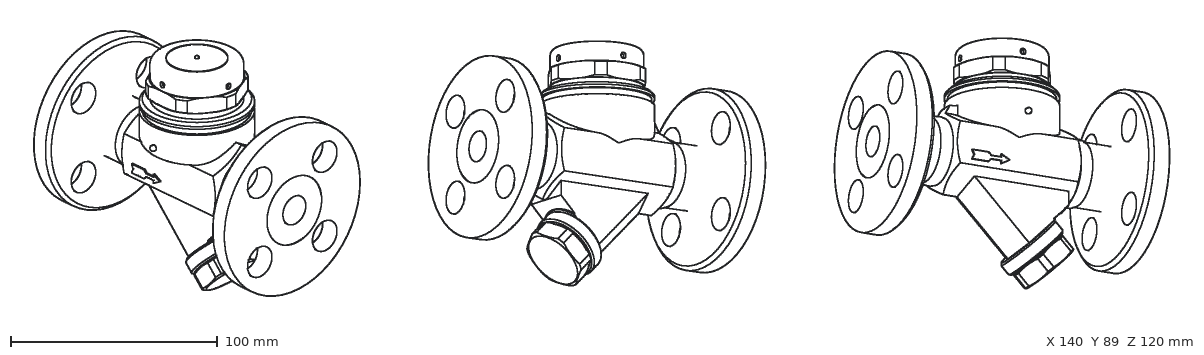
import cadquery as cq
import math

FACE_TO_FACE = 140.0

FLANGE_D = 89.0
FLANGE_THICKNESS = 10.4
FLANGE_CHAMFER = 2.0
RAISED_FACE_D = 35.8
RAISED_FACE_HEIGHT = 1.5
BOLT_CIRCLE_D = 60.3
BOLT_HOLE_D = 16.0
BOLT_HOLE_COUNT = 4
BOLT_START_ANGLE = 45

PIPE_D = 32.0
PIPE_FILLET = 2.2
BORE_D = 15.0
WELD_BEAD_D = 34.0
WELD_BEAD_BODY_D = 33.2
WELD_BEAD_WIDTH = 6.4

BODY_ACROSS_FLATS = 37.2
BODY_RIDGE_RADIUS = BODY_ACROSS_FLATS / math.sqrt(3)
BODY_FULL_HALF_LENGTH = 31.9
BODY_END_ANGLE = 60.0

BOWL_D = 56.0
BOWL_TOP = 28.8
BOWL_FILLET = 5.4
BOWL_BOTTOM = 10.7
BOWL_NECK_D = BODY_ACROSS_FLATS
BOWL_NECK_FILLET = 3.6

TAB_WIDTH = 10.0
TAB_TOP = 23.0
TAB_FILLET = 3.3

STUD_D = 3.0
STUD_HEIGHT = 17.7
STUD_REACH = 30.3

BRANCH_OFFSET = 12.55
BRANCH_HALF_WIDTH = 12.7
BRANCH_START = -10.0
BRANCH_END = 36.2
BRANCH_LIP_END = 36.9
BRANCH_LIP_D = 35.2
BRANCH_RIGHT_FACE = 29.8
BRANCH_UPPER_EDGE = 30.0
COLLAR_D = 34.0
COLLAR_CHAMFER = 0.9
COLLAR_END = 44.5
PLUG_ACROSS_FLATS = 30.0
PLUG_CORNER_D = 32.8
PLUG_END = 54.17
PLUG_CHAMFER_LENGTH = 0.8
PLUG_CHAMFER_DEPTH = 1.8

ARROW_TAIL_X = -25.8
ARROW_Z = -5.5
ARROW_LENGTH = 20.3
ARROW_HALF_HEIGHT = 2.4
ARROW_SHAFT_HALF_HEIGHT = 0.9
ARROW_TAIL_NOTCH = 1.2
ARROW_FEATHER_LENGTH = 8.9
ARROW_FEATHER_TAPER = 1.5
ARROW_HEAD_LENGTH = 4.5
ARROW_RELIEF = 0.75

GROOVE_D = 53.0
RIM_BOTTOM = 32.1
RIM_TOP = 35.0
RIM_CHAMFER = 1.5
NECK_GROOVE_D = 43.6
HEX_BOTTOM = 38.1
HEX_TOP = 46.4
HEX_ACROSS_FLATS = 45.8
HEX_CORNER_D = 49.8
HEX_CHAMFER_LENGTH = 0.8
HEX_CHAMFER_DEPTH = 1.6
CROWN_D = 45.5
CROWN_TOP = 56.6
CROWN_FILLET = 2.9
PLATE_D = 30.0
PLATE_THICKNESS = 0.4
PIP_D = 2.2
DIMPLE_D = 3.0
DIMPLE_BOTTOM_D = 1.6
DIMPLE_DEPTH = 0.8
DIMPLE_HEIGHT = 49.8
DIMPLE_COUNT = 4

FLANGE_OUTER_X = FACE_TO_FACE / 2 - RAISED_FACE_HEIGHT
FLANGE_INNER_X = FLANGE_OUTER_X - FLANGE_THICKNESS
BODY_END_SLOPE = math.tan(math.radians(BODY_END_ANGLE))
BODY_END_X = BODY_FULL_HALF_LENGTH + (BODY_RIDGE_RADIUS - WELD_BEAD_BODY_D / 2) / BODY_END_SLOPE
ARC_MIDDLE = math.sqrt(0.5)


def hexagon(plane, across_flats):
    """Hexagon sketch with two corners on the local X axis of the plane."""
    return cq.Workplane(plane).polygon(6, across_flats * 2 / math.sqrt(3))


def fillet_middle(center, radius, x_sign, y_sign):
    """Middle point of a quarter arc lying in the given quadrant of its centre."""
    return (center[0] + x_sign * radius * ARC_MIDDLE, center[1] + y_sign * radius * ARC_MIDDLE)


def make_pipe_end():
    """Outlet stub, weld bead, flange and raised face, turned about the X axis."""
    pipe_r = PIPE_D / 2
    flange_r = FLANGE_D / 2
    face_r = RAISED_FACE_D / 2
    bead_body_r = WELD_BEAD_BODY_D / 2
    bead_end = BODY_END_X + WELD_BEAD_WIDTH
    neck_fillet = (FLANGE_INNER_X - PIPE_FILLET, pipe_r + PIPE_FILLET)
    face_fillet = (FACE_TO_FACE / 2, face_r + RAISED_FACE_HEIGHT)
    turned = (
        cq.Workplane("XY")
        .moveTo(0, 0)
        .lineTo(0, bead_body_r)
        .lineTo(BODY_END_X, bead_body_r)
        .threePointArc((BODY_END_X + WELD_BEAD_WIDTH / 2, WELD_BEAD_D / 2), (bead_end, pipe_r))
        .lineTo(FLANGE_INNER_X - PIPE_FILLET, pipe_r)
        .threePointArc(
            fillet_middle(neck_fillet, PIPE_FILLET, 1, -1),
            (FLANGE_INNER_X, pipe_r + PIPE_FILLET),
        )
        .lineTo(FLANGE_INNER_X, flange_r - FLANGE_CHAMFER)
        .lineTo(FLANGE_INNER_X + FLANGE_CHAMFER, flange_r)
        .lineTo(FLANGE_OUTER_X, flange_r)
        .lineTo(FLANGE_OUTER_X, face_r + RAISED_FACE_HEIGHT)
        .threePointArc(
            fillet_middle(face_fillet, RAISED_FACE_HEIGHT, -1, -1),
            (FACE_TO_FACE / 2, face_r),
        )
        .lineTo(FACE_TO_FACE / 2, 0)
        .close()
        .revolve(360, (0, 0, 0), (1, 0, 0))
    )
    bolt_holes = (
        cq.Workplane("YZ", origin=(FLANGE_INNER_X, 0, 0))
        .polarArray(BOLT_CIRCLE_D / 2, BOLT_START_ANGLE, 360, BOLT_HOLE_COUNT)
        .circle(BOLT_HOLE_D / 2)
        .extrude(FLANGE_THICKNESS)
    )
    return turned.cut(bolt_holes)


def make_end_cone():
    """Double cone about X that trims the body ends and the tab."""
    peak_r = BODY_RIDGE_RADIUS + BODY_FULL_HALF_LENGTH * BODY_END_SLOPE
    tip_x = peak_r / BODY_END_SLOPE
    return (
        cq.Workplane("XY")
        .polyline([(-tip_x, 0), (0, peak_r), (tip_x, 0)])
        .close()
        .revolve(360, (0, 0, 0), (1, 0, 0))
    )


def make_tab():
    """Flat-topped tab that flares into the bowl through round corners."""
    half_width = TAB_WIDTH / 2
    bowl_edge_x = -math.sqrt((BOWL_D / 2) ** 2 - (half_width + TAB_FILLET) ** 2)
    flare_x = bowl_edge_x - TAB_FILLET
    flare_center = (flare_x, half_width + TAB_FILLET)
    lower_center = (flare_x, -half_width - TAB_FILLET)
    return (
        cq.Workplane("XY")
        .moveTo(-BODY_END_X, half_width)
        .lineTo(flare_x, half_width)
        .threePointArc(
            fillet_middle(flare_center, TAB_FILLET, 1, -1),
            (bowl_edge_x, half_width + TAB_FILLET),
        )
        .lineTo(bowl_edge_x, -half_width - TAB_FILLET)
        .threePointArc(
            fillet_middle(lower_center, TAB_FILLET, 1, 1),
            (flare_x, -half_width),
        )
        .lineTo(-BODY_END_X, -half_width)
        .close()
        .extrude(TAB_TOP)
    )


def make_bowl():
    """Bowl with a rounded bottom edge, blended into the body by a round neck."""
    bowl_r = BOWL_D / 2
    neck_r = BOWL_NECK_D / 2
    fillet_center = (bowl_r - BOWL_FILLET, BOWL_BOTTOM + BOWL_FILLET)
    neck_center = (neck_r + BOWL_NECK_FILLET, BOWL_BOTTOM - BOWL_NECK_FILLET)
    return (
        cq.Workplane("XZ")
        .moveTo(0, BOWL_TOP)
        .lineTo(bowl_r, BOWL_TOP)
        .lineTo(bowl_r, BOWL_BOTTOM + BOWL_FILLET)
        .threePointArc(
            fillet_middle(fillet_center, BOWL_FILLET, 1, -1),
            (bowl_r - BOWL_FILLET, BOWL_BOTTOM),
        )
        .lineTo(neck_r + BOWL_NECK_FILLET, BOWL_BOTTOM)
        .threePointArc(
            fillet_middle(neck_center, BOWL_NECK_FILLET, -1, 1),
            (neck_r, BOWL_BOTTOM - BOWL_NECK_FILLET),
        )
        .lineTo(0, BOWL_BOTTOM - BOWL_NECK_FILLET)
        .close()
        .revolve(360, (0, 0, 0), (0, 1, 0))
    )


def make_stud():
    """Round-nosed stud standing on the front of the bowl."""
    nose_y = -(STUD_REACH - STUD_D / 2)
    shank = (
        cq.Workplane("XZ", origin=(0, nose_y, STUD_HEIGHT))
        .circle(STUD_D / 2)
        .extrude(-STUD_D)
    )
    nose = cq.Workplane("XY").sphere(STUD_D / 2).translate((0, nose_y, STUD_HEIGHT))
    return shank.union(nose)


def branch_plane(distance):
    """Plane square to the branch axis; local X is world Y, local Y points up and to +X."""
    start = distance * ARC_MIDDLE
    origin = (-BRANCH_OFFSET + start, 0, -BRANCH_OFFSET - start)
    return cq.Plane(origin=origin, xDir=(0, 1, 0), normal=(1, 0, -1))


def make_branch_prism(end):
    """Prism with a V-shaped underside, ending square to the branch axis."""
    shoulder = BRANCH_HALF_WIDTH / math.sqrt(3)
    return (
        cq.Workplane(branch_plane(BRANCH_START))
        .polyline([
            (-BRANCH_HALF_WIDTH, BRANCH_UPPER_EDGE),
            (-BRANCH_HALF_WIDTH, -shoulder),
            (0, -2 * shoulder),
            (BRANCH_HALF_WIDTH, -shoulder),
            (BRANCH_HALF_WIDTH, BRANCH_UPPER_EDGE),
        ])
        .close()
        .extrude(end - BRANCH_START)
    )


def make_branch():
    """Strainer branch, cut upright on the outlet side, with a short round-topped lip at its end."""
    keep = cq.Workplane("XY").box(
        BRANCH_RIGHT_FACE + BODY_END_X, BODY_ACROSS_FLATS, FLANGE_D, centered=(False, True, False)
    ).translate((-BODY_END_X, 0, -FLANGE_D))
    lip_limit = (
        cq.Workplane(branch_plane(BRANCH_END))
        .circle(BRANCH_LIP_D / 2)
        .extrude(BRANCH_LIP_END - BRANCH_END)
    )
    lip = make_branch_prism(BRANCH_LIP_END).intersect(lip_limit)
    return make_branch_prism(BRANCH_END).intersect(keep).union(lip)


def make_strainer_plug():
    """Round collar and hexagon head at the end of the branch."""
    collar = (
        cq.Workplane(branch_plane(BRANCH_LIP_END))
        .circle(COLLAR_D / 2)
        .extrude(COLLAR_END - BRANCH_LIP_END)
        .edges()
        .chamfer(COLLAR_CHAMFER)
    )
    head_plane = branch_plane(COLLAR_END)
    head_length = PLUG_END - COLLAR_END
    head_plane_turned = head_plane.rotated((0, 0, 90))
    head = hexagon(head_plane_turned, PLUG_ACROSS_FLATS).extrude(head_length)
    corner_limit = (
        cq.Workplane(head_plane)
        .circle(PLUG_CORNER_D / 2)
        .extrude(head_length)
        .edges()
        .chamfer(PLUG_CHAMFER_LENGTH, PLUG_CHAMFER_DEPTH)
    )
    return collar.union(head.intersect(corner_limit))


def make_arrow():
    """Flow arrow standing proud of the front face."""
    upper = [
        (0, ARROW_HALF_HEIGHT),
        (ARROW_FEATHER_LENGTH, ARROW_HALF_HEIGHT),
        (ARROW_FEATHER_LENGTH + ARROW_FEATHER_TAPER, ARROW_SHAFT_HALF_HEIGHT),
        (ARROW_LENGTH - ARROW_HEAD_LENGTH, ARROW_SHAFT_HALF_HEIGHT),
        (ARROW_LENGTH - ARROW_HEAD_LENGTH, ARROW_HALF_HEIGHT),
    ]
    lower = [(x, -z) for x, z in reversed(upper)]
    outline = [(ARROW_TAIL_NOTCH, 0)] + upper + [(ARROW_LENGTH, 0)] + lower
    return (
        cq.Workplane("XZ", origin=(ARROW_TAIL_X, -BODY_ACROSS_FLATS / 2, ARROW_Z))
        .polyline(outline)
        .close()
        .extrude(ARROW_RELIEF)
    )


def make_housing():
    """Flanged housing with body bar, bowl, strainer branch and plug."""
    bar_plane = cq.Plane(origin=(-BODY_END_X, 0, 0), xDir=(0, 0, 1), normal=(1, 0, 0))
    bar = hexagon(bar_plane, BODY_ACROSS_FLATS).extrude(2 * BODY_END_X)
    body = bar.union(make_tab()).intersect(make_end_cone())
    body = body.union(make_branch()).union(make_strainer_plug())
    body = body.union(make_bowl()).union(make_stud()).union(make_arrow())
    outlet = make_pipe_end()
    body = body.union(outlet).union(outlet.mirror("YZ"))
    bore_depth = FACE_TO_FACE / 2 - BODY_END_X
    for start_x in (-FACE_TO_FACE / 2, BODY_END_X):
        bore = cq.Workplane("YZ", origin=(start_x, 0, 0)).circle(BORE_D / 2).extrude(bore_depth)
        body = body.cut(bore)
    return body


def make_dimple():
    """Tapered blind dimple in the front of the crown."""
    crown_r = CROWN_D / 2
    outline = [
        (0, -crown_r),
        (DIMPLE_D / 2, -crown_r),
        (DIMPLE_BOTTOM_D / 2, DIMPLE_DEPTH - crown_r),
        (0, DIMPLE_DEPTH - crown_r),
    ]
    return (
        cq.Workplane("XY", origin=(0, 0, DIMPLE_HEIGHT))
        .polyline(outline)
        .close()
        .revolve(360, (0, 0, 0), (0, 1, 0))
    )


def make_cap():
    """Screwed cap resting on the bowl, with a rim, a hexagon and a round crown."""
    rim_r = BOWL_D / 2
    crown_r = CROWN_D / 2
    crown_center = (crown_r - CROWN_FILLET, CROWN_TOP - CROWN_FILLET)
    turned = (
        cq.Workplane("XZ")
        .moveTo(0, BOWL_TOP)
        .lineTo(GROOVE_D / 2, BOWL_TOP)
        .lineTo(GROOVE_D / 2, RIM_BOTTOM)
        .lineTo(rim_r, RIM_BOTTOM)
        .lineTo(rim_r, RIM_TOP - RIM_CHAMFER)
        .lineTo(rim_r - RIM_CHAMFER, RIM_TOP)
        .lineTo(crown_r, RIM_TOP)
        .threePointArc(
            (NECK_GROOVE_D / 2, (RIM_TOP + HEX_BOTTOM) / 2),
            (crown_r, HEX_BOTTOM),
        )
        .lineTo(crown_r, CROWN_TOP - CROWN_FILLET)
        .threePointArc(
            fillet_middle(crown_center, CROWN_FILLET, 1, 1),
            (crown_r - CROWN_FILLET, CROWN_TOP),
        )
        .lineTo(PLATE_D / 2, CROWN_TOP)
        .lineTo(PLATE_D / 2, CROWN_TOP + PLATE_THICKNESS)
        .lineTo(0, CROWN_TOP + PLATE_THICKNESS)
        .close()
        .revolve(360, (0, 0, 0), (0, 1, 0))
    )
    hex_plane = cq.Plane.XY(origin=(0, 0, HEX_BOTTOM))
    hex_height = HEX_TOP - HEX_BOTTOM
    hex_limit = (
        cq.Workplane(hex_plane)
        .circle(HEX_CORNER_D / 2)
        .extrude(hex_height)
        .edges()
        .chamfer(HEX_CHAMFER_LENGTH, HEX_CHAMFER_DEPTH)
    )
    cap = turned.union(hexagon(hex_plane, HEX_ACROSS_FLATS).extrude(hex_height).intersect(hex_limit))
    pip = cq.Workplane("XY").sphere(PIP_D / 2).translate((0, 0, CROWN_TOP + PLATE_THICKNESS))
    cap = cap.union(pip)
    for index in range(DIMPLE_COUNT):
        dimple = make_dimple().rotate((0, 0, 0), (0, 0, 1), index * 360 / DIMPLE_COUNT)
        cap = cap.cut(dimple)
    return cap


housing = make_housing()
cap = make_cap()
result = cq.Compound.makeCompound([housing.val(), cap.val()])